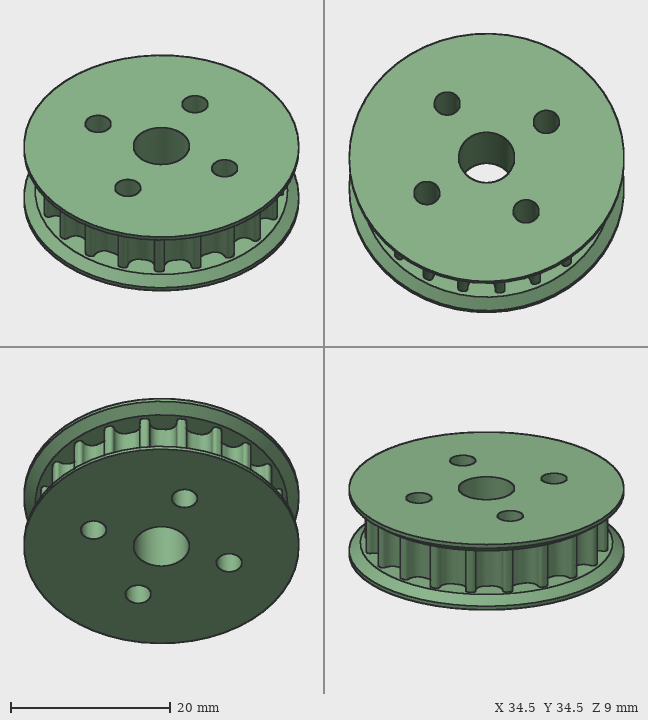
import cadquery as cq
import math

flange_diameter = 34.55
height = 9.0

belt_width = 6.0
rim_thickness = 0.52
cone_inner_radius = 15.85
flange_thickness = (height - belt_width) / 2

tooth_count = 20
tooth_tip_radius = 15.35
groove_depth = 2.07
land_width = 0.35
tip_rounding = 0.45
root_rounding = 1.35
groove_floor_radius = tooth_tip_radius - groove_depth

bore_diameter = 7.0
bolt_hole_diameter = 3.2
bolt_circle_diameter = 18.0
bolt_hole_count = 4

pitch_angle = 2 * math.pi / tooth_count
tip_angle = pitch_angle / 2 - land_width / 2 / tooth_tip_radius
root_center_radius = groove_floor_radius + root_rounding
tip_center_radius = tooth_tip_radius - tip_rounding
center_distance = root_rounding + tip_rounding
angle_between_centers = math.acos(
    (root_center_radius**2 + tip_center_radius**2 - center_distance**2)
    / (2 * root_center_radius * tip_center_radius)
)
floor_angle = tip_angle - angle_between_centers


def polar(radius, angle):
    return cq.Vector(radius * math.cos(angle), radius * math.sin(angle))


def point_towards(start, target, distance):
    return start + (target - start).normalized() * distance


def arc_middle(center, start, end):
    """Middle of the short arc from start to end around center."""
    return point_towards(center, (start + end) * 0.5, (start - center).Length)


def groove_flank(groove_angle, side):
    """Points on one groove side: floor end, root arc middle, tangent point, tip arc middle, land end."""
    root_angle = groove_angle + side * floor_angle
    land_angle = groove_angle + side * tip_angle
    root_center = polar(root_center_radius, root_angle)
    tip_center = polar(tip_center_radius, land_angle)
    floor_end = polar(groove_floor_radius, root_angle)
    land_end = polar(tooth_tip_radius, land_angle)
    tangent_point = point_towards(root_center, tip_center, root_rounding)
    root_middle = arc_middle(root_center, floor_end, tangent_point)
    tip_middle = arc_middle(tip_center, tangent_point, land_end)
    return floor_end, root_middle, tangent_point, tip_middle, land_end


def add_arc(outline, middle, end):
    return outline.threePointArc((middle.x, middle.y), (end.x, end.y))


def toothed_core():
    """Belt track between the flanges; one groove and the land after it per pass."""
    start = polar(tooth_tip_radius, -tip_angle)
    outline = cq.Workplane("XY", origin=(0, 0, flange_thickness)).moveTo(start.x, start.y)
    for index in range(tooth_count):
        groove_angle = index * pitch_angle
        floor_start, root_in, tangent_in, tip_in, _ = groove_flank(groove_angle, -1)
        floor_end, root_out, tangent_out, tip_out, land_start = groove_flank(groove_angle, 1)
        outline = add_arc(outline, tip_in, tangent_in)
        outline = add_arc(outline, root_in, floor_start)
        outline = add_arc(outline, polar(groove_floor_radius, groove_angle), floor_end)
        outline = add_arc(outline, root_out, tangent_out)
        outline = add_arc(outline, tip_out, land_start)
        land_middle = polar(tooth_tip_radius, groove_angle + pitch_angle / 2)
        land_end = polar(tooth_tip_radius, groove_angle + pitch_angle - tip_angle)
        outline = add_arc(outline, land_middle, land_end)
    return outline.close().extrude(belt_width)


def bottom_flange():
    flange_radius = flange_diameter / 2
    half_section = (
        cq.Workplane("XZ")
        .moveTo(0, 0)
        .lineTo(flange_radius, 0)
        .lineTo(flange_radius, rim_thickness)
        .lineTo(cone_inner_radius, flange_thickness)
        .lineTo(0, flange_thickness)
        .close()
    )
    return half_section.revolve(360, (0, 0, 0), (0, 1, 0))


def through_holes():
    bore = cq.Workplane("XY").circle(bore_diameter / 2).extrude(height)
    bolt_holes = (
        cq.Workplane("XY")
        .polarArray(bolt_circle_diameter / 2, 0, 360, bolt_hole_count)
        .circle(bolt_hole_diameter / 2)
        .extrude(height)
    )
    return bore.union(bolt_holes)


lower_flange = bottom_flange()
upper_flange = lower_flange.mirror("XY", (0, 0, height / 2))
result = lower_flange.union(toothed_core()).union(upper_flange).cut(through_holes())